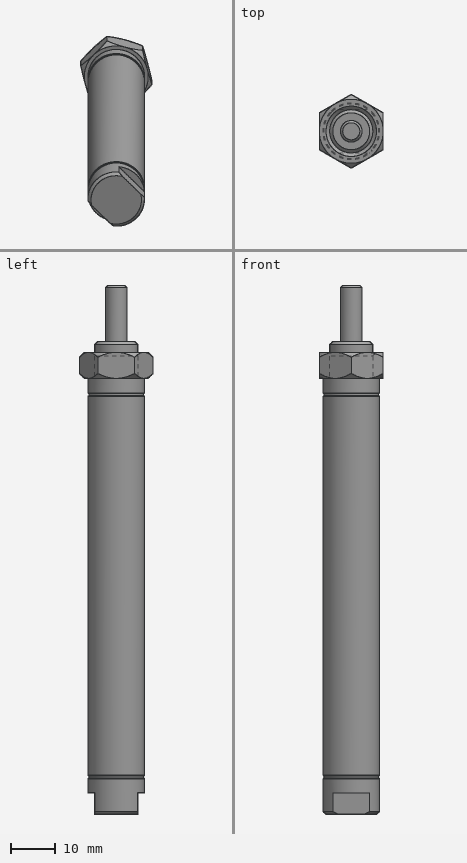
import cadquery as cq
import math

total_length = 117.6
collar_top = 105.15
shoulder_height = 96.9
groove_centers = (8.3, 93.3)

barrel_diameter = 12.6
rear_chamfer_height = 0.6
rear_chamfer_depth = 0.7
collar_diameter = 9.6
collar_chamfer = 0.7
groove_width = 0.8
groove_depth = 0.2
flat_distance = 9.6
flat_length = 4.75

nut_across_flats = 14.22
nut_across_corners = nut_across_flats / math.cos(math.pi / 6)
nut_height = 5.8
nut_countersink_diameter = 11.2
nut_corner_chamfer = (nut_across_corners - nut_across_flats) / 2
nut_countersink_depth = (nut_countersink_diameter - collar_diameter) / 2

rod_diameter = 4.8
rod_chamfer = 0.5


def cylinder(diameter, bottom, height):
    """Vertical cylinder on the common axis."""
    return cq.Workplane("XY").workplane(offset=bottom).circle(diameter / 2).extrude(height)


def make_groove(center):
    """Ring removed by one crimp groove, with a flat root and 45 degree walls."""
    radius = barrel_diameter / 2
    root_half_width = groove_width / 2 - groove_depth
    return (
        cq.Workplane("XZ")
        .moveTo(radius, center - groove_width / 2)
        .lineTo(radius - groove_depth, center - root_half_width)
        .lineTo(radius - groove_depth, center + root_half_width)
        .lineTo(radius, center + groove_width / 2)
        .close()
        .revolve(360, (0, 0, 0), (0, 1, 0))
    )


def make_rear_chamfer():
    """Ring removed by the chamfer around the rear end."""
    radius = barrel_diameter / 2
    return (
        cq.Workplane("XZ")
        .moveTo(radius - rear_chamfer_depth, 0)
        .lineTo(radius, 0)
        .lineTo(radius, rear_chamfer_height)
        .close()
        .revolve(360, (0, 0, 0), (0, 1, 0))
    )


def make_wrench_flat(side):
    """Block removed from one side of the rear end; side is +1 or -1 along Y."""
    cut_depth = (barrel_diameter - flat_distance) / 2
    center_y = side * (flat_distance + cut_depth) / 2
    return (
        cq.Workplane("XY")
        .center(0, center_y)
        .rect(barrel_diameter, cut_depth)
        .extrude(flat_length)
    )


def make_barrel():
    tube = cylinder(barrel_diameter, 0, shoulder_height).cut(make_rear_chamfer())
    collar = cylinder(collar_diameter, shoulder_height, collar_top - shoulder_height)
    barrel = tube.union(collar.faces(">Z").chamfer(collar_chamfer))
    for center in groove_centers:
        barrel = barrel.cut(make_groove(center))
    for side in (-1, 1):
        barrel = barrel.cut(make_wrench_flat(side))
    return barrel


def make_nut():
    """Hexagonal nut seated on the barrel shoulder, with two corners on the Y axis."""
    hexagon = (
        cq.Workplane("XY")
        .workplane(offset=shoulder_height)
        .transformed(rotate=(0, 0, 90))
        .polygon(6, nut_across_corners)
        .extrude(nut_height)
    )
    envelope = cylinder(nut_across_corners, shoulder_height, nut_height)
    envelope = envelope.faces("<Z or >Z").chamfer(nut_corner_chamfer)
    bore = cylinder(collar_diameter, shoulder_height, nut_height)
    countersink = cq.Solid.makeCone(
        collar_diameter / 2,
        nut_countersink_diameter / 2,
        nut_countersink_depth,
        pnt=cq.Vector(0, 0, shoulder_height + nut_height - nut_countersink_depth),
    )
    return hexagon.intersect(envelope).cut(bore).cut(countersink)


def make_rod():
    """Piston rod standing on the end face of the collar."""
    return cylinder(rod_diameter, collar_top, total_length - collar_top).faces(">Z").chamfer(rod_chamfer)


barrel = make_barrel()
nut = make_nut()
rod = make_rod()

result = cq.Compound.makeCompound([barrel.val(), nut.val(), rod.val()])